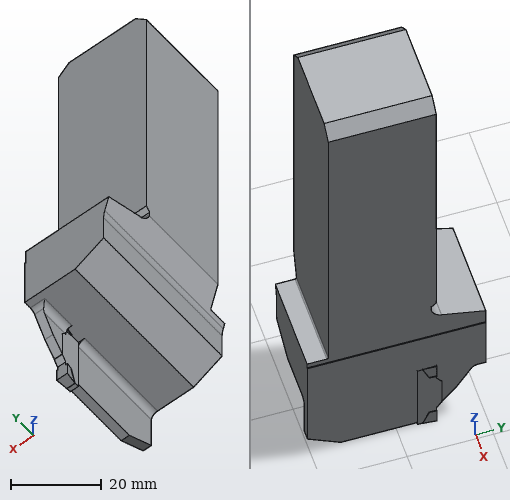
import cadquery as cq
import math

total_height = 116.9
shank_size = 25.0
shank_chamfer = 3.0

head_right = 25.3
head_step_z = 31.7
head_front = -4.9
head_back = 36.5
ledge_z = 33.1
ledge_fillet = 0.4
taper_top_z = 40.8
taper_angle = math.radians(15)
head_left = 2.8
taper_round = 9.4
head_chamfer_z = 21.5
head_chamfer_angle = math.radians(30)
head_bottom_z = 16.8

relief_top_z = 43.5
relief_depth = 1.2
relief_round = 3.2
shoulder_z = 35.8
shoulder_angle = math.radians(15)

blade_left = 22.9
blade_bottom_z = 0.9
blade_root_fillet = 1.8
blade_chamfer_length = 7.7
blade_chamfer_angle = math.radians(30)
jaw_top_y = 33.5
jaw_bend = (29.5, 10.3)
jaw_end_z = 6.4
jaw_round = 1.8

insert_length = 20.3
insert_middle_z = insert_length / 2
insert_seat_y = 20.6
insert_rake_y = 25.0
insert_ridge_y = 26.2
insert_ridge_half_length = 3.9
insert_ridge_half_base = 5.5
insert_heel_rise = 0.2
cutting_width = 3.0
cutting_height = 3.7
cutting_top_y = 23.3
cutting_heel = (21.7, 0.1)
head_overhang = 0.2


def side_prism(points, x_start, x_end):
    """Prism along X from an outline of (Y, Z) points."""
    return cq.Workplane("YZ").workplane(offset=x_start).polyline(points).close().extrude(x_end - x_start)


def fillet_at(solid, axis, position, radius):
    """Round the edge parallel to axis that lies nearest to position."""
    return solid.edges("|" + axis).edges(cq.selectors.NearestToPointSelector(position)).fillet(radius)


def make_front_outline():
    """Holder outline across X and Z, extruded through the full depth."""
    taper_end_z = taper_top_z - head_left / math.tan(taper_angle)
    flat_start_x = head_left + (head_chamfer_z - head_bottom_z) / math.tan(head_chamfer_angle)
    points = [
        (0, total_height - shank_chamfer),
        (shank_chamfer, total_height),
        (shank_size - shank_chamfer, total_height),
        (shank_size, total_height - shank_chamfer),
        (shank_size, head_step_z),
        (head_right, head_step_z),
        (head_right, 0),
        (blade_left, 0),
        (blade_left, head_bottom_z),
        (flat_start_x, head_bottom_z),
        (head_left, head_chamfer_z),
        (head_left, taper_end_z),
        (0, taper_top_z),
    ]
    prism = cq.Workplane("XZ", origin=(0, head_back, 0)).polyline(points).close()
    prism = prism.extrude(head_back - head_front)
    middle_y = (head_front + head_back) / 2
    prism = fillet_at(prism, "Y", (head_left, middle_y, taper_end_z), taper_round)
    return fillet_at(prism, "Y", (blade_left, middle_y, head_bottom_z), blade_root_fillet)


def make_side_outline():
    """Holder outline across Y and Z, extruded through the full width."""
    relief_y = shank_size - relief_depth
    shoulder_root_z = shoulder_z + (head_back - relief_y) * math.tan(shoulder_angle)
    blade_chamfer_z = blade_bottom_z + blade_chamfer_length * math.tan(blade_chamfer_angle)
    points = [
        (0, total_height),
        (shank_size, total_height),
        (shank_size, relief_top_z),
        (relief_y, relief_top_z - relief_depth),
        (relief_y, shoulder_root_z),
        (head_back, shoulder_z),
        (head_back, head_bottom_z),
        (jaw_top_y, head_bottom_z),
        jaw_bend,
        (insert_ridge_y, jaw_end_z),
        (insert_seat_y, jaw_end_z),
        (insert_seat_y, blade_bottom_z),
        (head_front + blade_chamfer_length, blade_bottom_z),
        (head_front, blade_chamfer_z),
        (head_front, ledge_z),
        (0, ledge_z),
    ]
    prism = side_prism(points, 0, head_right)
    middle_x = head_right / 2
    prism = fillet_at(prism, "X", (middle_x, relief_y, shoulder_root_z), relief_round)
    prism = fillet_at(prism, "X", (middle_x, jaw_top_y, head_bottom_z), jaw_round)
    return fillet_at(prism, "X", (middle_x, 0, ledge_z), ledge_fillet)


def make_insert():
    """Bar as wide as the blade, with a wider cutting head at each end."""
    ridge_low = insert_middle_z - insert_ridge_half_length
    ridge_high = insert_middle_z + insert_ridge_half_length
    bar = side_prism([
        (insert_rake_y, 0),
        (insert_rake_y, insert_middle_z - insert_ridge_half_base),
        (insert_ridge_y, ridge_low),
        (insert_ridge_y, ridge_high),
        (insert_rake_y, insert_middle_z + insert_ridge_half_base),
        (insert_rake_y, insert_length),
        (insert_seat_y, insert_length - insert_heel_rise),
        (insert_seat_y, insert_heel_rise),
    ], blade_left, head_right)
    head_right_x = head_right + head_overhang
    lower_head = side_prism([
        (insert_rake_y, 0),
        (insert_rake_y, cutting_height),
        (cutting_top_y, cutting_height),
        cutting_heel,
    ], head_right_x - cutting_width, head_right_x)
    clearance_outline = [
        (head_right_x - cutting_width, insert_rake_y),
        (head_right_x, insert_rake_y),
        (head_right, cutting_heel[0]),
        (blade_left, cutting_heel[0]),
    ]
    side_clearance = cq.Workplane("XY").polyline(clearance_outline).close().extrude(cutting_height)
    lower_head = lower_head.intersect(side_clearance)
    upper_head = lower_head.mirror("XY", (0, 0, insert_middle_z))
    return bar.union(lower_head).union(upper_head)


def make_root_notch():
    """Clearance for the insert through the fillet at the root of the blade."""
    notch_bottom_z = head_bottom_z - blade_root_fillet
    return side_prism([
        (insert_seat_y, notch_bottom_z),
        (insert_rake_y, notch_bottom_z),
        (insert_rake_y, head_bottom_z),
        (insert_seat_y, head_bottom_z),
    ], blade_left - blade_root_fillet, blade_left)


insert = make_insert()
holder = make_front_outline().intersect(make_side_outline()).cut(insert).cut(make_root_notch())

result = cq.Compound.makeCompound([*holder.solids().vals(), *insert.solids().vals()])